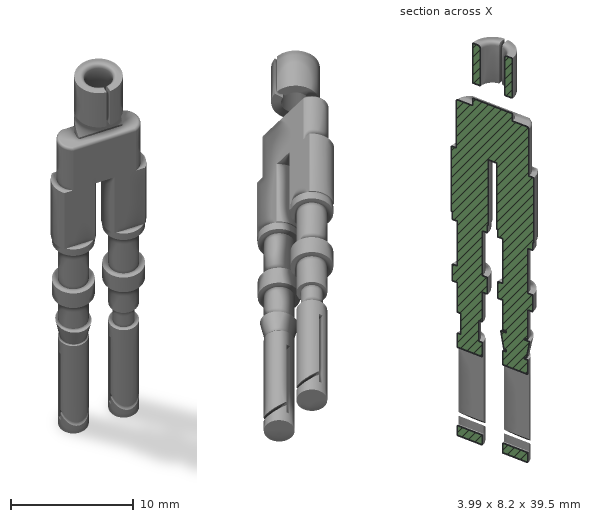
import cadquery as cq

TOTAL_HEIGHT = 39.5
HOUSING_TOP = 33.3
LEG_TOP = 28.48
LEG_BOTTOM = 21.95

PIN_DIAMETER = 2.53
PIN_OFFSET = 2.25
COLLAR_DIAMETER = 3.5
UPPER_COLLAR_HEIGHT = 0.75
LOWER_COLLAR_BOTTOM = 15.13
LOWER_COLLAR_HEIGHT = 1.7
GROOVE_DIAMETER = 1.8
GROOVE_BOTTOM = 10.2
GROOVE_HEIGHT = 2.0

SLOT_WIDTH = 0.35
SLOT_BOTTOM = 1.03
SLOT_TOP = 8.73
SLIT_START_HEIGHT = 2.2
SLIT_WIDTH = 0.28
SLIT_ANGLE = 43.0

BARB_CLEARANCE = 0.1
BARB_TOP_X = 3.25
BARB_TOP_Y = 2.92
BARB_BOTTOM_X = 2.37
BARB_BOTTOM_Y = 2.3

HOUSING_THICKNESS = 2.53
LEG_DIAMETER = 3.7
HEAD_END_DIAMETER = 2.75
HEAD_EDGE_RADIUS = 0.25

BARREL_DIAMETER = 4.0
BARREL_HEIGHT = 4.0
BORE_DIAMETER = 2.37
MOUTH_RADIUS = 0.3
BARREL_SLIT_WIDTH = 0.3
STRIP_FOOT_HEIGHT = 0.2
STRIP_FOOT_HALF_WIDTH = 0.45

barrel_radius = BARREL_DIAMETER / 2
bore_radius = BORE_DIAMETER / 2
barrel_bottom = TOTAL_HEIGHT - BARREL_HEIGHT


def cylinder(diameter, bottom, height, y=0.0):
    """Upright cylinder on the X = 0 plane."""
    base = cq.Workplane("XY", origin=(0, y, bottom))
    return base.circle(diameter / 2).extrude(height)


def box(x_size, y_size, bottom, top):
    """Upright block centred on the Z axis."""
    base = cq.Workplane("XY", origin=(0, 0, bottom))
    return base.rect(x_size, y_size).extrude(top - bottom)


def make_pin(y):
    """Stepped round pin with two collars, a groove and a slotted tip."""
    groove_top = GROOVE_BOTTOM + GROOVE_HEIGHT
    pin = cylinder(PIN_DIAMETER, 0, GROOVE_BOTTOM, y)
    pin = pin.union(cylinder(GROOVE_DIAMETER, GROOVE_BOTTOM, GROOVE_HEIGHT, y))
    pin = pin.union(cylinder(PIN_DIAMETER, groove_top, LEG_BOTTOM - groove_top, y))
    pin = pin.union(cylinder(COLLAR_DIAMETER, LOWER_COLLAR_BOTTOM, LOWER_COLLAR_HEIGHT, y))
    upper_collar_bottom = LEG_BOTTOM - UPPER_COLLAR_HEIGHT
    return pin.union(cylinder(COLLAR_DIAMETER, upper_collar_bottom, UPPER_COLLAR_HEIGHT, y))


def make_tip_cuts():
    """Straight slot and slanted side slit, running through both pins along Y."""
    depth = 2 * (PIN_OFFSET + PIN_DIAMETER)
    slot = box(SLOT_WIDTH, depth, SLOT_BOTTOM, SLOT_TOP)
    slit_length = 2 * PIN_DIAMETER
    slit = cq.Workplane("XY").box(slit_length, depth, SLIT_WIDTH, centered=(False, True, True))
    slit = slit.rotate((0, 0, 0), (0, 1, 0), SLIT_ANGLE).translate((0, 0, SLIT_START_HEIGHT))
    return slot.union(slit)


def make_barb(y):
    """Oval tapered barb, wide end up."""
    bottom = GROOVE_BOTTOM + BARB_CLEARANCE
    height = GROOVE_HEIGHT - 2 * BARB_CLEARANCE
    base = cq.Workplane("XY", origin=(0, y, bottom)).ellipse(BARB_BOTTOM_X / 2, BARB_BOTTOM_Y / 2)
    return base.workplane(offset=height).ellipse(BARB_TOP_X / 2, BARB_TOP_Y / 2).loft()


def make_housing():
    """Two flat-sided legs joined by a head with round ends and a rounded top rim."""
    leg_height = LEG_TOP - LEG_BOTTOM
    head_height = HOUSING_TOP - LEG_TOP
    legs = cylinder(LEG_DIAMETER, LEG_BOTTOM, leg_height, PIN_OFFSET)
    legs = legs.union(cylinder(LEG_DIAMETER, LEG_BOTTOM, leg_height, -PIN_OFFSET))
    head = box(HOUSING_THICKNESS, 2 * PIN_OFFSET, LEG_TOP, HOUSING_TOP)
    for y in (-PIN_OFFSET, PIN_OFFSET):
        head = head.union(cylinder(HEAD_END_DIAMETER, LEG_TOP, head_height, y))
    flat_sides = box(HOUSING_THICKNESS, 4 * LEG_DIAMETER, LEG_BOTTOM, HOUSING_TOP)
    legs = legs.intersect(flat_sides)
    head = head.intersect(flat_sides).faces(">Z").edges().fillet(HEAD_EDGE_RADIUS)
    return legs.union(head)


def make_barrel():
    """Open tube with a rounded mouth and a slit along its +X side."""
    barrel = cylinder(BARREL_DIAMETER, barrel_bottom, BARREL_HEIGHT)
    barrel = barrel.cut(cylinder(BORE_DIAMETER, barrel_bottom, BARREL_HEIGHT))
    mouth_edge = cq.selectors.RadiusNthSelector(0)
    barrel = barrel.faces(">Z").edges(mouth_edge).fillet(MOUTH_RADIUS)
    slit = cq.Workplane("XY", origin=(0, 0, barrel_bottom))
    slit = slit.box(BARREL_DIAMETER, BARREL_SLIT_WIDTH, BARREL_HEIGHT, centered=(False, True, False))
    return barrel.cut(slit)


def make_strip():
    """Slanted strip from the -X wall of the barrel to the housing, as wide as the barrel."""
    bend_height = HOUSING_TOP + STRIP_FOOT_HEIGHT
    profile = [
        (-STRIP_FOOT_HALF_WIDTH, HOUSING_TOP),
        (STRIP_FOOT_HALF_WIDTH, HOUSING_TOP),
        (STRIP_FOOT_HALF_WIDTH, bend_height),
        (-bore_radius, barrel_bottom),
        (-barrel_radius, barrel_bottom),
        (-STRIP_FOOT_HALF_WIDTH, bend_height),
    ]
    strip = cq.Workplane("XZ").polyline(profile).close().extrude(barrel_radius, both=True)
    return strip.intersect(cylinder(BARREL_DIAMETER, HOUSING_TOP, TOTAL_HEIGHT - HOUSING_TOP))


pins = make_pin(-PIN_OFFSET).union(make_pin(PIN_OFFSET)).cut(make_tip_cuts())
pins = pins.union(make_barb(-PIN_OFFSET))
result = make_housing().union(pins).union(make_strip()).union(make_barrel())